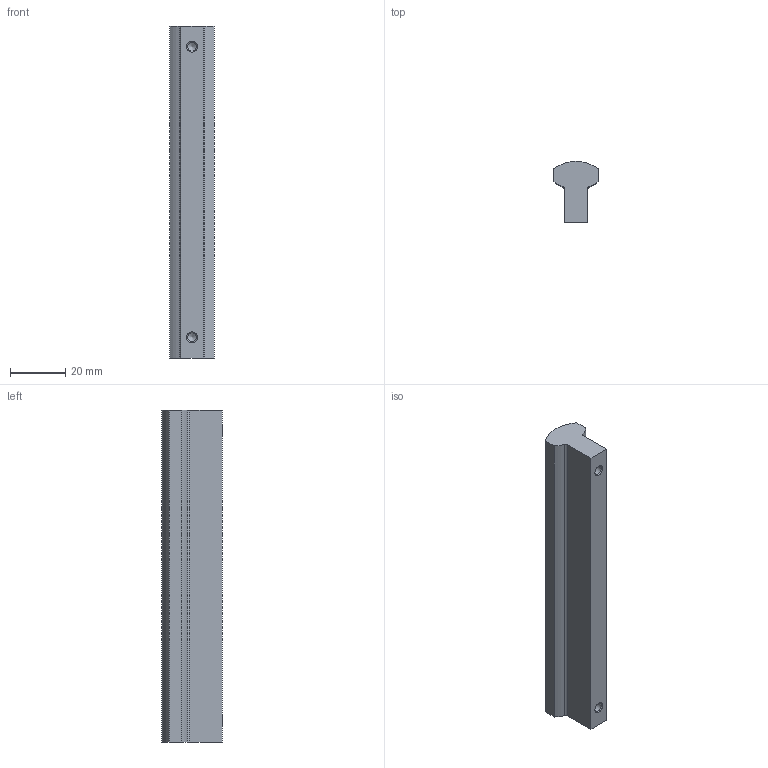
import cadquery as cq
import math

bar_length = 120.0
total_depth = 22.0

head_width = 16.0
front_shoulder_depth = 7.25
back_crown_radius = 13.2
front_crown_radius = 12.4
neck_fillet_radius = 1.0

stem_width = 8.0

hole_diameter = 3.24
hole_depth = 10.0
hole_end_distance = 7.5
countersink_diameter = 4.0
countersink_angle = 90.0
drill_tip_angle = 118.0


def arc_rise(radius, half_chord):
    """Height of a circular arc above its chord."""
    return radius - math.sqrt(radius**2 - half_chord**2)


half_head = head_width / 2
back_shoulder_y = total_depth - arc_rise(back_crown_radius, half_head)
front_shoulder_y = total_depth - front_shoulder_depth
front_apex_y = front_shoulder_y - arc_rise(front_crown_radius, half_head)
neck_y = front_apex_y + arc_rise(front_crown_radius, stem_width / 2)


def make_head():
    """Bar with flat flanks and rounded front and back."""
    return (
        cq.Workplane("XY")
        .moveTo(-half_head, front_shoulder_y)
        .threePointArc((0, front_apex_y), (half_head, front_shoulder_y))
        .lineTo(half_head, back_shoulder_y)
        .threePointArc((0, total_depth), (-half_head, back_shoulder_y))
        .close()
        .extrude(bar_length)
    )


def make_stem():
    """Rectangular stem reaching from the foot into the head."""
    return cq.Workplane("XY").box(
        stem_width, front_shoulder_y, bar_length, centered=(True, False, False)
    )


def round_necks(body):
    """Fillet the two inner corners between stem and head."""
    selection_margin = 0.1
    neck_edges = cq.selectors.BoxSelector(
        (-half_head, neck_y - selection_margin, 0),
        (half_head, neck_y + selection_margin, bar_length),
    )
    return body.edges("|Z").edges(neck_edges).fillet(neck_fillet_radius)


def make_hole(z):
    """Countersunk blind hole with a conical bottom, entering from the foot along +Y."""
    hole_radius = hole_diameter / 2
    countersink_radius = countersink_diameter / 2
    countersink_slope = math.tan(math.radians(countersink_angle / 2))
    countersink_depth = (countersink_radius - hole_radius) / countersink_slope
    tip_depth = hole_radius / math.tan(math.radians(drill_tip_angle / 2))
    return (
        cq.Workplane("XY")
        .moveTo(0, 0)
        .lineTo(countersink_radius, 0)
        .lineTo(hole_radius, countersink_depth)
        .lineTo(hole_radius, hole_depth)
        .lineTo(0, hole_depth + tip_depth)
        .close()
        .revolve(360, (0, 0), (0, 1))
        .translate((0, 0, z))
    )


result = round_necks(make_head().union(make_stem()))
for hole_z in (hole_end_distance, bar_length - hole_end_distance):
    result = result.cut(make_hole(hole_z))